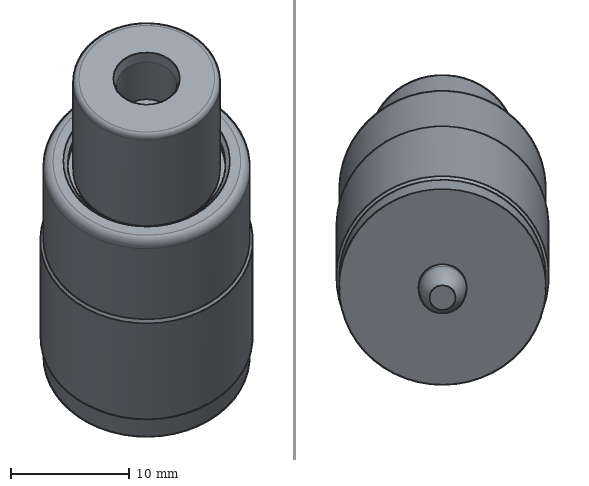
import cadquery as cq

total_height = 40.7
body_bottom = 2.8
band_bottom = 5.25
band_top = 18.9
collar_top = 29.4

body_radius = 8.75
band_radius = 9.0
band_chamfer = band_radius - body_radius
collar_fillet = 0.8

recess_mouth_radius = 7.05
recess_radius = 6.67
recess_taper_depth = recess_mouth_radius - recess_radius
recess_depth = 1.0

plunger_radius = 6.23
plunger_fillet = 0.5
bore_mouth_radius = 2.8
bore_radius = 2.55
bore_taper_depth = 0.98
bore_depth = 6.1

pin_radius = 2.05
pin_tip_radius = 1.1
pin_round_height = 2.3


def cylinder(radius, bottom, top):
    return cq.Workplane("XY").workplane(offset=bottom).circle(radius).extrude(top - bottom)


def tapered_hole(mouth_radius, radius, top, taper_depth, depth):
    """Blind round hole whose mouth narrows in a straight taper."""
    profile = (
        cq.Workplane("XZ")
        .moveTo(0, top)
        .lineTo(mouth_radius, top)
        .lineTo(radius, top - taper_depth)
        .lineTo(radius, top - depth)
        .lineTo(0, top - depth)
        .close()
    )
    return profile.revolve(360, (0, 0), (0, 1))


def make_body():
    body = cylinder(body_radius, body_bottom, collar_top).faces(">Z").edges().fillet(collar_fillet)
    band = cylinder(band_radius, band_bottom, band_top).edges().chamfer(band_chamfer)
    recess = tapered_hole(
        recess_mouth_radius, recess_radius, collar_top, recess_taper_depth, recess_depth
    )
    return body.union(band).cut(recess)


def make_plunger():
    plunger = cylinder(plunger_radius, collar_top - recess_depth, total_height)
    plunger = plunger.faces(">Z").edges().fillet(plunger_fillet)
    bore = tapered_hole(bore_mouth_radius, bore_radius, total_height, bore_taper_depth, bore_depth)
    return plunger.cut(bore)


def make_pin():
    inset = pin_radius - pin_tip_radius
    round_radius = (inset**2 + pin_round_height**2) / (2 * inset)
    profile = (
        cq.Workplane("XZ")
        .moveTo(0, 0)
        .lineTo(0, body_bottom)
        .lineTo(pin_radius, body_bottom)
        .lineTo(pin_radius, pin_round_height)
        .radiusArc((pin_tip_radius, 0), round_radius)
        .close()
    )
    return profile.revolve(360, (0, 0), (0, 1))


result = make_body().union(make_plunger()).union(make_pin())